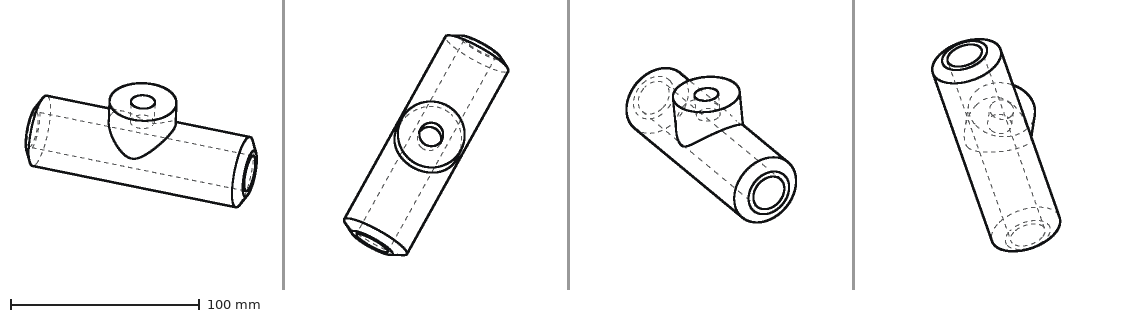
import cadquery as cq
import math

run_length = 120.65
run_diameter = 38.1
run_bore_diameter = 19.05

bevel_length = 3.81
bevel_angle = 30.0

branch_diameter = 35.56
branch_bore_diameter = 12.7
branch_bore_depth = 12.7
branch_length = 31.75
branch_lean = 5.5


def run_body():
    """Solid run pipe with bevelled ends, revolved about X."""
    half_length = run_length / 2
    shoulder = half_length - bevel_length
    radius = run_diameter / 2
    end_radius = radius - bevel_length / math.tan(math.radians(bevel_angle))
    profile = [
        (-half_length, 0),
        (-half_length, end_radius),
        (-shoulder, radius),
        (shoulder, radius),
        (half_length, end_radius),
        (half_length, 0),
    ]
    return cq.Workplane("XY").polyline(profile).close().revolve(360, (0, 0, 0), (1, 0, 0))


def run_bore():
    """Cylinder along X through the whole run pipe."""
    return cq.Workplane("YZ").circle(run_bore_diameter / 2).extrude(run_length / 2, both=True)


def branch_cylinder(diameter, depth):
    """Cylinder of the given depth below the branch face, along the leaning branch axis."""
    upright = cq.Workplane("XY", origin=(0, 0, branch_length)).circle(diameter / 2).extrude(-depth)
    return upright.rotate((0, 0, 0), (1, 0, 0), -branch_lean)


branch = branch_cylinder(branch_diameter, branch_length)
branch_bore = branch_cylinder(branch_bore_diameter, branch_bore_depth)
result = run_body().union(branch).cut(run_bore()).cut(branch_bore)